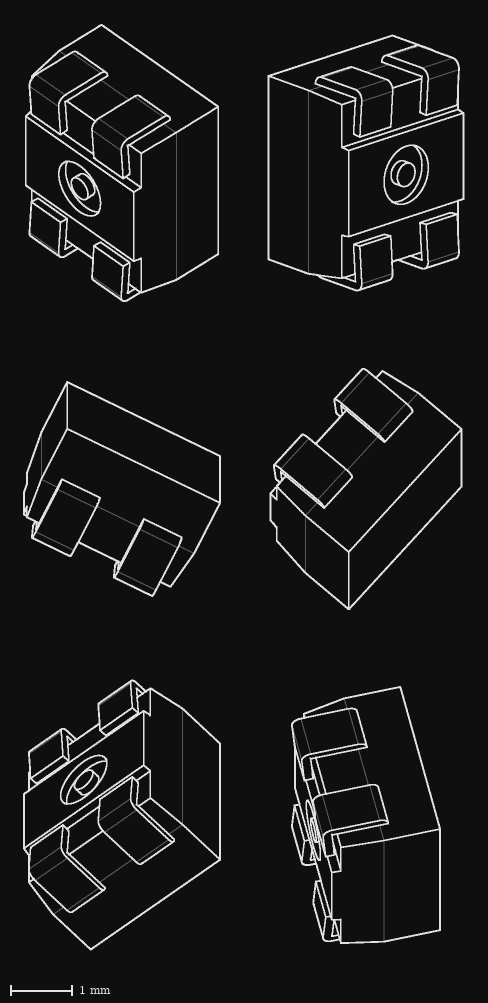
import cadquery as cq
import math


width = 2.8
height = 3.2
back_depth = 0.95
shoulder_depth = 0.7
pad_step = 0.15
pad_height = 1.5
draft_angle = 7.0
pad_depth = shoulder_depth + pad_step

recess_diameter = 1.0
stud_diameter = 0.4
recess_depth = 0.15

lead_width = 0.7
lead_thickness = 0.15
lead_pitch = 1.5
lead_overlap = 0.15
bend_depth = 0.8
foot_length = 0.64
foot_angle = 4.0


def make_housing():
    """Straight block with a drafted front, a raised pad and a ring-shaped recess."""
    back = cq.Workplane("XZ").rect(width, height).extrude(-back_depth)
    front = cq.Workplane("XZ").rect(width, height).extrude(pad_depth, taper=draft_angle)
    housing = back.union(front)

    pad_half = pad_height / 2
    pad_root_half = pad_half + pad_step * math.tan(math.radians(draft_angle))
    for side in (1, -1):
        shoulder = (
            cq.Workplane("YZ")
            .moveTo(-pad_depth, side * pad_half)
            .lineTo(-shoulder_depth, side * pad_root_half)
            .lineTo(-shoulder_depth, side * height / 2)
            .lineTo(-pad_depth, side * height / 2)
            .close()
            .extrude(width / 2, both=True)
        )
        housing = housing.cut(shoulder)

    recess = (
        cq.Workplane("XZ", origin=(0, -pad_depth, 0))
        .circle(recess_diameter / 2)
        .circle(stud_diameter / 2)
        .extrude(-recess_depth)
    )
    return housing.cut(recess)


def make_lead(x_center, side):
    """Bent strip on the top (side = 1) or bottom (side = -1) of the housing."""
    lean = math.radians(foot_angle)
    corner_y = -bend_depth
    corner_z = height / 2
    outer_z = corner_z + lead_thickness

    def bend_point(angle):
        """Point on the outside of the bend, at an angle from the +Y direction."""
        return (
            corner_y + lead_thickness * math.cos(angle),
            side * (corner_z + lead_thickness * math.sin(angle)),
        )

    foot_run_y = foot_length * math.sin(lean)
    foot_run_z = -foot_length * math.cos(lean)
    bend_end_angle = math.pi + lean
    bend_end_y, bend_end_z = bend_point(bend_end_angle)
    bend_middle = bend_point((math.pi / 2 + bend_end_angle) / 2)

    end_round_drop = lead_thickness * (1 - math.sqrt(0.5))
    end_round_start = lead_overlap - lead_thickness

    profile = (
        cq.Workplane("YZ", origin=(x_center, 0, 0))
        .moveTo(corner_y, side * corner_z)
        .lineTo(lead_overlap, side * corner_z)
        .threePointArc(
            (lead_overlap - end_round_drop, side * (outer_z - end_round_drop)),
            (end_round_start, side * outer_z),
        )
        .lineTo(corner_y, side * outer_z)
        .threePointArc(bend_middle, (bend_end_y, bend_end_z))
        .lineTo(bend_end_y + foot_run_y, bend_end_z + side * foot_run_z)
        .lineTo(corner_y + foot_run_y, side * (corner_z + foot_run_z))
        .close()
    )
    return profile.extrude(lead_width / 2, both=True)


housing = make_housing()

leads = []
for lead_x in (-lead_pitch / 2, lead_pitch / 2):
    for lead_side in (1, -1):
        leads.append(make_lead(lead_x, lead_side).val())

result = cq.Compound.makeCompound([housing.val(), *leads])